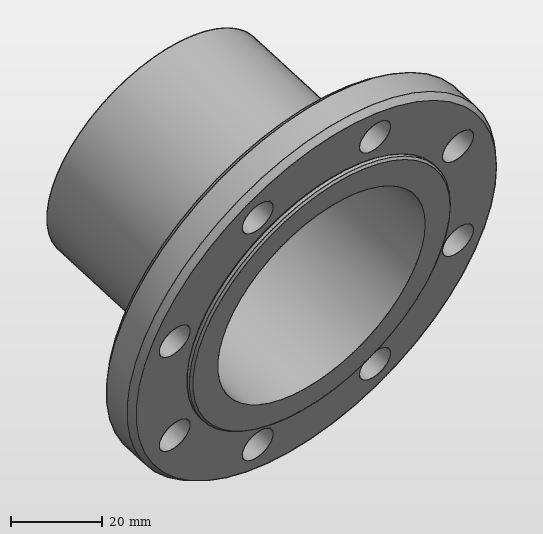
import cadquery as cq

total_length = 55.5
flange_thickness = 9.8
raised_face_height = 1.7
flange_front = total_length - raised_face_height - flange_thickness
flange_back = flange_front + flange_thickness

bore_diameter = 60.2
pipe_diameter = 63.5
flange_diameter = 107.0
raised_face_diameter = 75.8

pipe_side_chamfer = 1.2
back_bevel_length = 1.7
back_bevel_depth = 1.2
raised_face_chamfer = 0.5
raised_face_base_chamfer = 0.3
neck_radius = 4.0

bolt_hole_count = 8
bolt_hole_diameter = 9.0
bolt_circle_diameter = 89.0
bolt_start_angle = 180.0 / bolt_hole_count


def cylinder(diameter, start, length):
    """Solid cylinder along +X beginning at X = start."""
    return cq.Workplane("YZ", origin=(start, 0, 0)).circle(diameter / 2).extrude(length)


def neck():
    """Pipe-sized core with a concave flare that meets the flange."""
    pipe_radius = pipe_diameter / 2
    flare_start = flange_front - neck_radius
    flare_radius = pipe_radius + neck_radius
    return (
        cq.Workplane("XY")
        .moveTo(0, 0)
        .lineTo(0, pipe_radius)
        .lineTo(flare_start, pipe_radius)
        .radiusArc((flange_front, flare_radius), -neck_radius)
        .lineTo(flange_back, flare_radius)
        .lineTo(flange_back, 0)
        .close()
        .revolve(360, (0, 0, 0), (1, 0, 0))
    )


def flange_disc():
    """Disc with an even chamfer on the pipe side and a longer bevel on the back."""
    flange_radius = flange_diameter / 2
    return (
        cq.Workplane("XY")
        .moveTo(flange_front, 0)
        .lineTo(flange_front, flange_radius - pipe_side_chamfer)
        .lineTo(flange_front + pipe_side_chamfer, flange_radius)
        .lineTo(flange_back - back_bevel_length, flange_radius)
        .lineTo(flange_back, flange_radius - back_bevel_depth)
        .lineTo(flange_back, 0)
        .close()
        .revolve(360, (0, 0, 0), (1, 0, 0))
    )


def bolt_holes():
    return (
        cq.Workplane("YZ", origin=(flange_front, 0, 0))
        .polarArray(bolt_circle_diameter / 2, bolt_start_angle, 360, bolt_hole_count)
        .circle(bolt_hole_diameter / 2)
        .extrude(flange_thickness)
    )


raised_face = (
    cylinder(raised_face_diameter, flange_back, raised_face_height)
    .faces(">X")
    .edges()
    .chamfer(raised_face_chamfer)
    .faces("<X")
    .edges()
    .chamfer(raised_face_base_chamfer)
)
bore = cylinder(bore_diameter, 0, total_length)

result = neck().union(flange_disc()).union(raised_face).cut(bore).cut(bolt_holes())